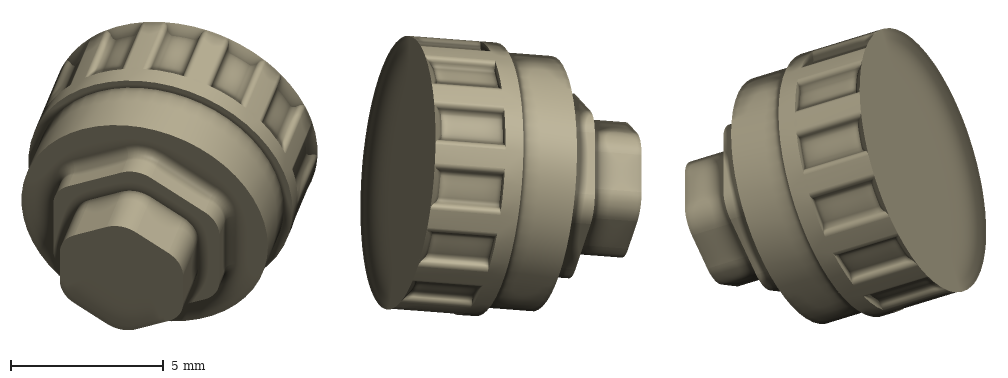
import cadquery as cq
import math


rim_radius = 4.5
rim_length = 3.0

groove_count = 13
groove_depth = 0.3
groove_length = 2.385
groove_flank_radius = 0.2
groove_floor_half_angle = 4.8
groove_floor_radius = rim_radius - groove_depth

body_radius = 8.4 / 2
body_length = 1.91

hex_corner_radius = 1.0
collar_across_flats = 5.65
collar_length = 1.0
collar_root_fillet = 0.3
drive_across_flats = 4.19
drive_length = 1.8

body_start = rim_length
collar_start = body_start + body_length
drive_start = collar_start + collar_length


def plane_at(distance):
    """Sketch plane at a distance in front of the rear face: local x is +X, local y is +Z."""
    return cq.Workplane("XZ", origin=(0, -distance, 0))


def polar(radius, angle):
    """Point at an angle in radians from local +y toward local +x."""
    return (radius * math.sin(angle), radius * math.cos(angle))


def rounded_hex(distance, across_flats, length):
    """Hexagonal prism with rounded corners, one corner pointing to +Z."""
    across_corners = across_flats / math.cos(math.radians(30))
    prism = plane_at(distance).transformed(rotate=(0, 0, 90)).polygon(6, across_corners).extrude(length)
    return prism.edges("|Y").fillet(hex_corner_radius)


def groove_cutter():
    """Groove at +Z: round floor and S-shaped flanks tangent to the floor and to the rim."""
    concave_center_radius = groove_floor_radius + groove_flank_radius
    convex_center_radius = rim_radius - groove_flank_radius

    flank_angle = math.acos(
        (concave_center_radius**2 + convex_center_radius**2 - (2 * groove_flank_radius) ** 2)
        / (2 * concave_center_radius * convex_center_radius)
    )
    floor_angle = math.radians(groove_floor_half_angle)
    edge_angle = floor_angle + flank_angle

    concave_center = cq.Vector(*polar(concave_center_radius, floor_angle))
    convex_center = cq.Vector(*polar(convex_center_radius, edge_angle))
    flank_middle = (concave_center + convex_center) * 0.5
    floor_end = cq.Vector(*polar(groove_floor_radius, floor_angle))
    rim_end = cq.Vector(*polar(rim_radius, edge_angle))

    def arc_middle(center, start, end):
        toward_middle = ((start - center) + (end - center)).normalized()
        return center + toward_middle * groove_flank_radius

    concave_middle = arc_middle(concave_center, floor_end, flank_middle)
    convex_middle = arc_middle(convex_center, flank_middle, rim_end)

    def right(point):
        return (point.x, point.y)

    def left(point):
        return (-point.x, point.y)

    clearance_radius = rim_radius + groove_depth
    return (
        plane_at(0)
        .moveTo(*left(floor_end))
        .threePointArc((0, groove_floor_radius), right(floor_end))
        .threePointArc(right(concave_middle), right(flank_middle))
        .threePointArc(right(convex_middle), right(rim_end))
        .lineTo(*polar(clearance_radius, edge_angle))
        .lineTo(*polar(clearance_radius, -edge_angle))
        .lineTo(*left(rim_end))
        .threePointArc(left(convex_middle), left(flank_middle))
        .threePointArc(left(concave_middle), left(floor_end))
        .close()
        .extrude(groove_length)
    )


def grooved_rim():
    """Rim disc with grip grooves whose floors ramp out at 45 degrees to a full rear edge."""
    rim = plane_at(0).circle(rim_radius).extrude(rim_length)
    cutter = groove_cutter()
    for index in range(groove_count):
        rim = rim.cut(cutter.rotate((0, 0, 0), (0, 1, 0), index * 360 / groove_count))
    ramp = cq.Solid.makeCone(
        rim_radius, groove_floor_radius, groove_depth, cq.Vector(0, 0, 0), cq.Vector(0, -1, 0)
    )
    return rim.union(cq.Workplane(ramp))


def body_with_collar():
    """Body cylinder and hexagonal collar, with a fillet around the collar root."""
    body = plane_at(body_start).circle(body_radius).extrude(body_length)
    collar = rounded_hex(collar_start, collar_across_flats, collar_length)
    joined = body.union(collar)

    straight_root_edges = joined.edges("#Y and %LINE").edges(">Y")
    return straight_root_edges.fillet(collar_root_fillet)


drive = rounded_hex(drive_start, drive_across_flats, drive_length)
result = grooved_rim().union(body_with_collar()).union(drive)